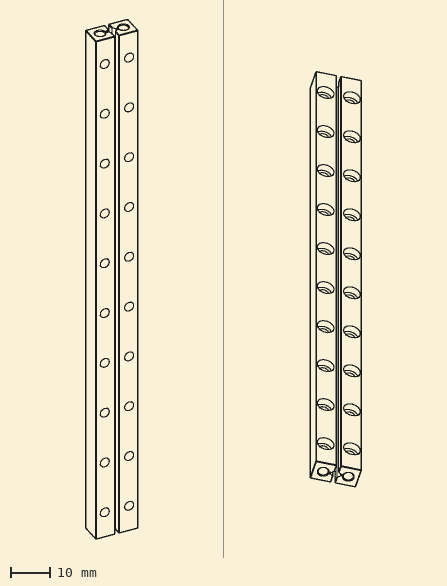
import cadquery as cq
import math

length = 150.0
width = 6.0
pair_depth = 12.0
gap = 1.0
edge_chamfer = 0.2

groove_reach = 1.5
relief_width = 0.5
relief_reach = 1.6

mount_offset = 3.5
mount_pitch = 15.0
mount_count = 10
mount_diameter = 2.5
counterbore_diameter = 4.4
counterbore_depth = 2.0

end_hole_offset = 3.3
end_hole_diameter = 2.5
end_hole_depth = 3.8
end_hole_mouth = 3.0
drill_point_angle = 90.0

outer_face = pair_depth / 2
inner_face = gap / 2


def rail_blank():
    """Rectangular bar on the +Y side, with every edge lightly chamfered."""
    depth = outer_face - inner_face
    bar = cq.Workplane("XY").box(width, depth, length)
    bar = bar.translate((0, inner_face + depth / 2, 0))
    return bar.edges().chamfer(edge_chamfer)


def roller_groove():
    """Cutter for the V groove and its root relief, over the full length."""
    vee = (
        cq.Workplane("XY")
        .polyline([(-groove_reach, 0), (0, groove_reach), (groove_reach, 0)])
        .close()
        .extrude(length / 2, both=True)
    )
    relief = cq.Workplane("XY").box(relief_width, relief_reach, length)
    return vee.union(relief.translate((0, relief_reach / 2, 0)))


def mounting_hole(z):
    """Cutter for one through hole, counterbored from the -X face."""
    axis = cq.Workplane("YZ", origin=(-width / 2, mount_offset, z))
    through = axis.circle(mount_diameter / 2).extrude(width)
    counterbore = axis.circle(counterbore_diameter / 2).extrude(counterbore_depth)
    return through.union(counterbore)


def end_hole():
    """Cutter for the blind hole in the +Z end."""
    radius = end_hole_diameter / 2
    mouth_radius = end_hole_mouth / 2
    top = length / 2
    floor = top - end_hole_depth
    tip = floor - radius / math.tan(math.radians(drill_point_angle / 2))
    profile = [
        (0, top),
        (mouth_radius, top),
        (radius, top - (mouth_radius - radius)),
        (radius, floor),
        (0, tip),
    ]
    hole = cq.Workplane("XZ").polyline(profile).close().revolve(360, (0, 0), (0, 1))
    return hole.translate((0, end_hole_offset, 0))


def make_rail():
    """Complete rail on the +Y side."""
    rail = rail_blank().cut(roller_groove())
    for i in range(mount_count):
        z = (i - (mount_count - 1) / 2) * mount_pitch
        rail = rail.cut(mounting_hole(z))
    upper_hole = end_hole()
    return rail.cut(upper_hole).cut(upper_hole.mirror("XY"))


rail = make_rail()
rails = [rail, rail.mirror("XZ")]

result = cq.Compound.makeCompound([body.val() for body in rails])